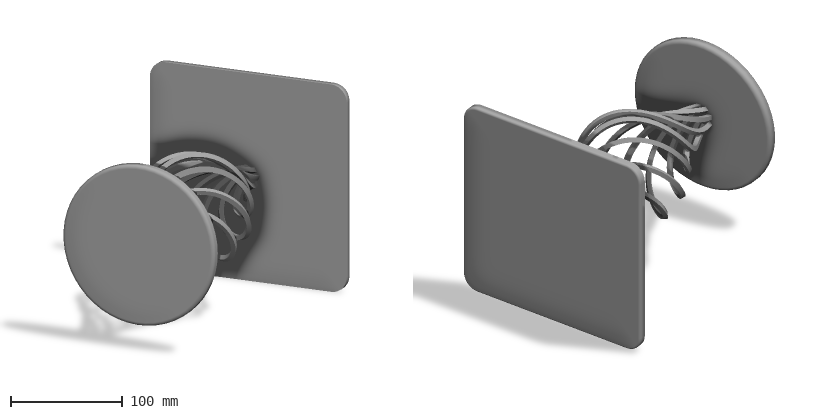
import cadquery as cq
import math

total_length = 242.6
disc_front = -total_length / 2
plate_back = total_length / 2

plate_side = 194.0
plate_thickness = 7.8
plate_corner_radius = 15.0
plate_back_fillet = 2.0

disc_diameter = 150.0
disc_thickness = 10.7
disc_fillet = 3.5

bar_count = 8
bar_side = 4.4
bar_roll = 82.0
basket_middle = -2.0
turn_length = 239.3
middle_radius = 52.2
bell_drop = 4.4
bell_width = 63.0
path_points = 14

bar_embedding = 1.2
bar_start = disc_front + disc_thickness - bar_embedding
bar_end = plate_back - plate_thickness + bar_embedding


def bar_point(t):
    """Point on the bar's centre line, with t from 0 at the disc to 1 at the plate."""
    y = bar_start + t * (bar_end - bar_start)
    from_middle = y - basket_middle
    bell = 1 / (1 + (from_middle / bell_width) ** 2)
    radius = (middle_radius + bell_drop) * bell - bell_drop
    angle = -2 * math.pi * from_middle / turn_length
    return (radius * math.cos(angle), y, radius * math.sin(angle))


def make_plate():
    plate = cq.Workplane("XZ", origin=(0, plate_back, 0)).rect(plate_side, plate_side)
    plate = plate.extrude(plate_thickness)
    plate = plate.edges("|Y").fillet(plate_corner_radius)
    return plate.faces(">Y").edges().fillet(plate_back_fillet)


def make_disc():
    disc = cq.Workplane("XZ", origin=(0, disc_front, 0)).circle(disc_diameter / 2)
    return disc.extrude(-disc_thickness).edges().fillet(disc_fillet)


def make_bar():
    path = cq.Workplane("XY").parametricCurve(bar_point, N=path_points)
    start = cq.Vector(*bar_point(0))
    outward = cq.Vector(start.x, 0, start.z)
    tangent = path.val().tangentAt(0)
    section = cq.Plane(origin=start, xDir=outward, normal=tangent).rotated((0, 0, bar_roll))
    return cq.Workplane(section).rect(bar_side, bar_side).sweep(path)


bar = make_bar().val()
axis_start = cq.Vector(0, 0, 0)
axis_end = cq.Vector(0, 1, 0)
bars = [bar.rotate(axis_start, axis_end, number * 360 / bar_count) for number in range(bar_count)]
result = cq.Workplane(make_plate().val().fuse(make_disc().val(), *bars))